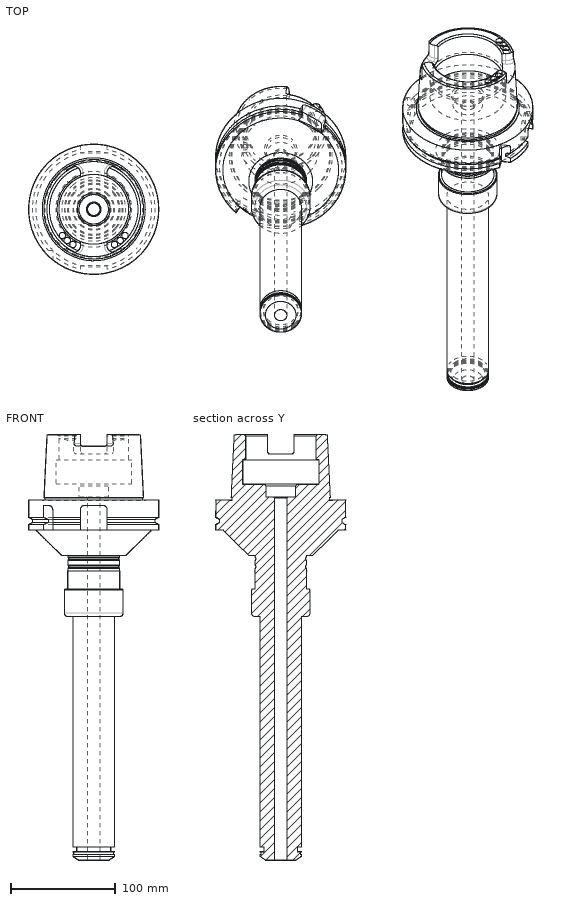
import cadquery as cq
import math


taper_height = 63.0
taper_top_radius = 45.0
taper_base_radius = 48.0
taper_rim_chamfer_width = 2.5
taper_rim_chamfer_height = 1.0
relief_height = 2.5
relief_entry = 1.0
relief_radius = 47.0
face_relief_radius = 49.5
face_relief_depth = 0.5

flange_radius = 62.5
flange_thickness = 29.0
flange_groove_top = -16.8
flange_groove_depth = 3.5
flange_groove_flat = 3.0
flange_groove_flank = 2.0

cone_top_radius = 55.5
cone_bottom_radius = 30.5
cone_height = 24.5
neck_radius = 50.5 / 2
neck_groove_radius = 48.3 / 2
neck_groove_width = 3.3
neck_groove_flank = 1.0
neck_grooves_below_cone = (1.2, 9.0)
collar_radius = 25.0
collar_height = 14.7
neck_bottom = -85.5

sleeve_radius = 28.2
sleeve_height = 26.5
sleeve_fillet = 3.3
sleeve_chamfer = 1.0

total_length = 409
bottom = taper_height - total_length
tube_radius = 40.0 / 2
tip_groove_radius = 33.0 / 2
tip_groove_width = 4.5
tip_height = 8.0
nut_groove_radius = 19.2
nut_groove_width = 2.0
nut_rim_width = 0.5
tip_chamfer_height = 3.5
tip_end_radius = 14.7

bore_radius = 67.0 / 2
bore_chamfer = 1.5
bore_land = 24.5
clamp_radius = 36.5
bore_depth = 48.0
counterbore_radius = 28.2 / 2
counterbore_chamfer = 1.5
counterbore_depth = 12.3
through_radius = 12.0 / 2
through_mouth_radius = 14.0 / 2

drive_slot_width = 25.5
drive_flare_radius = 6.5
drive_flare_end = 41.5
drive_floor_fillet = 2.5
drive_depth_front = 11.5
drive_depth_back = 19.0

balance_radius = 6.0 / 2
balance_circle_radius = 39.3
balance_depth = 4.0
balance_first_angle = 220
balance_pitch_angle = 9.7
balance_count = 3
drill_point_angle = 118

key_width = 25.8
key_floor = 54.0
key_corner_radius = 4.0
key_top = -5.5
notch_corner_x = -39.3
notch_corner_y = -39.5
notch_corner_radius = 4.5

flange_bottom = -flange_thickness
cone_bottom = flange_bottom - cone_height
clear = 20.5


def ring_groove(outer_radius, inner_radius, top, width, flank=0.0):
    """Ring cut around a shaft of outer_radius; flank is the height of each sloping side."""
    outline = [
        (outer_radius, top),
        (inner_radius, top - flank),
        (inner_radius, top - width + flank),
        (outer_radius, top - width),
        (outer_radius + clear, top - width),
        (outer_radius + clear, top),
    ]
    return cq.Workplane("XZ").polyline(outline).close().revolve(360, (0, 0), (0, 1))


def turned_body():
    groove_floor = flange_radius - flange_groove_depth
    tube_end = bottom + tip_height + tip_groove_width
    collar_bottom = cone_bottom - collar_height
    nut_groove_top = bottom + tip_height - nut_rim_width
    outline = [
        (0, taper_height),
        (taper_top_radius - taper_rim_chamfer_width, taper_height),
        (taper_top_radius, taper_height - taper_rim_chamfer_height),
        (taper_base_radius, relief_height),
        (relief_radius, relief_height - relief_entry),
        (relief_radius, -face_relief_depth),
        (face_relief_radius, -face_relief_depth),
        (face_relief_radius, 0),
        (flange_radius, 0),
        (flange_radius, flange_groove_top),
        (groove_floor, flange_groove_top - flange_groove_flank),
        (groove_floor, flange_groove_top - flange_groove_flank - flange_groove_flat),
        (flange_radius, flange_groove_top - 2 * flange_groove_flank - flange_groove_flat),
        (flange_radius, flange_bottom),
        (cone_top_radius, flange_bottom),
        (cone_bottom_radius, cone_bottom),
        (collar_radius, cone_bottom),
        (collar_radius, collar_bottom),
        (neck_radius, collar_bottom),
        (neck_radius, neck_bottom),
        (tube_radius, neck_bottom),
        (tube_radius, tube_end),
        (tip_groove_radius, tube_end),
        (tip_groove_radius, bottom + tip_height),
        (tube_radius, bottom + tip_height),
        (tube_radius, bottom + tip_chamfer_height),
        (tip_end_radius, bottom),
        (0, bottom),
    ]
    body = cq.Workplane("XZ").polyline(outline).close().revolve(360, (0, 0), (0, 1))

    sleeve = cq.Workplane("XY", origin=(0, 0, neck_bottom - sleeve_height))
    sleeve = sleeve.circle(sleeve_radius).extrude(sleeve_height)
    sleeve = sleeve.faces("<Z").edges().fillet(sleeve_fillet)
    sleeve = sleeve.faces(">Z").edges().chamfer(sleeve_chamfer)
    body = body.union(sleeve)

    for drop in neck_grooves_below_cone:
        top = cone_bottom - drop
        groove = ring_groove(collar_radius, neck_groove_radius, top, neck_groove_width, neck_groove_flank)
        body = body.cut(groove)
    return body.cut(ring_groove(tube_radius, nut_groove_radius, nut_groove_top, nut_groove_width))


def stepped_bore():
    land_end = taper_height - bore_land
    bore_floor = taper_height - bore_depth
    counterbore_floor = bore_floor - counterbore_depth
    mouth_depth = through_mouth_radius - through_radius
    outline = [
        (0, taper_height),
        (bore_radius + bore_chamfer, taper_height),
        (bore_radius, taper_height - bore_chamfer),
        (bore_radius, land_end),
        (clamp_radius, land_end),
        (clamp_radius, bore_floor),
        (counterbore_radius + counterbore_chamfer, bore_floor),
        (counterbore_radius, bore_floor - counterbore_chamfer),
        (counterbore_radius, counterbore_floor),
        (through_mouth_radius, counterbore_floor),
        (through_radius, counterbore_floor - mouth_depth),
        (through_radius, bottom),
        (0, bottom),
    ]
    return cq.Workplane("XZ").polyline(outline).close().revolve(360, (0, 0), (0, 1))


def drive_slot(depth):
    """Slot through the +Y side of the rim, its outer corners flared by an arc."""
    half = drive_slot_width / 2
    flare_start = drive_flare_end - drive_flare_radius
    flare_half = half + drive_flare_radius
    arc_x = flare_half - drive_flare_radius * math.cos(math.pi / 4)
    arc_y = flare_start + drive_flare_radius * math.sin(math.pi / 4)
    outer_y = taper_base_radius + clear
    slot = (
        cq.Workplane("XY", origin=(0, 0, taper_height - depth))
        .moveTo(-half, 0)
        .lineTo(half, 0)
        .lineTo(half, flare_start)
        .threePointArc((arc_x, arc_y), (flare_half, drive_flare_end))
        .lineTo(flare_half, outer_y)
        .lineTo(-flare_half, outer_y)
        .lineTo(-flare_half, drive_flare_end)
        .threePointArc((-arc_x, arc_y), (-half, flare_start))
        .close()
        .extrude(depth + clear)
    )
    return slot.faces("<Z").edges().fillet(drive_floor_fillet)


def balance_hole(angle):
    """Blind drilled hole in the rim, with a conical bottom."""
    x = balance_circle_radius * math.cos(math.radians(angle))
    y = balance_circle_radius * math.sin(math.radians(angle))
    point = balance_radius / math.tan(math.radians(drill_point_angle / 2))
    outline = [
        (0, taper_height),
        (balance_radius, taper_height),
        (balance_radius, taper_height - balance_depth),
        (0, taper_height - balance_depth - point),
    ]
    hole = cq.Workplane("XZ").polyline(outline).close().revolve(360, (0, 0), (0, 1))
    return hole.translate((x, y, 0))


def key_slot():
    """Flat-floored slot in the +Y side of the flange, open at the bottom."""
    height = key_top - flange_bottom
    length = flange_radius - key_floor + clear
    slot = cq.Workplane("XY").box(key_width, length, height, centered=(True, False, False))
    slot = slot.edges("|Y and >Z").fillet(key_corner_radius)
    return slot.translate((0, key_floor, flange_bottom))


def orientation_notch():
    """Square notch between -X and -Y, with a rounded upper inner corner."""
    height = key_top - flange_bottom
    notch = cq.Workplane("XY").box(flange_radius, flange_radius, height, centered=False)
    notch = notch.edges("|Y and >Z and >X").fillet(notch_corner_radius)
    return notch.translate((notch_corner_x - flange_radius, notch_corner_y - flange_radius, flange_bottom))


result = turned_body().cut(stepped_bore())

result = result.cut(drive_slot(drive_depth_back))
result = result.cut(drive_slot(drive_depth_front).mirror("XZ"))

for index in range(balance_count):
    left_hole = balance_hole(balance_first_angle + index * balance_pitch_angle)
    result = result.cut(left_hole).cut(left_hole.mirror("YZ"))

result = result.cut(key_slot()).cut(key_slot().mirror("XZ"))
result = result.cut(orientation_notch())